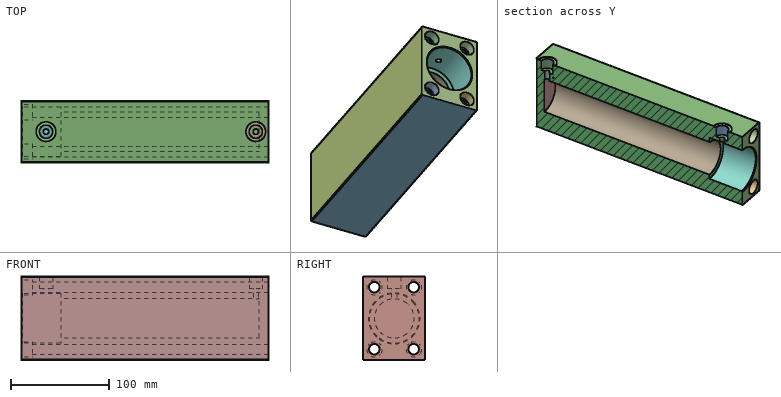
import cadquery as cq

length = 251.0
width = 63.0
height = 85.0
long_edge_chamfer = 1.0

gland_diameter = 50.4
gland_depth = 40.0
gland_mouth_diameter = 52.0
gland_mouth_chamfer = (gland_mouth_diameter - gland_diameter) / 2
piston_bore_diameter = 40.0
end_wall = 10.0
piston_bore_end_x = length - end_wall

bolt_hole_diameter = 10.5
bolt_head_diameter = 15.5
bolt_head_depth = 11.0
bolt_spacing_y = 40.0
bolt_spacing_z = 63.0

front_port_x = 25.0
rear_port_x = length - 13.0
port_seat_diameter = 20.0
port_seat_depth = 0.5
port_thread_diameter = 13.5
port_thread_depth = 12.0
port_passage_diameter = 5.5


def hole_along_x(diameter, depth, y, z):
    """Cylinder running along +X from the X = 0 face."""
    return cq.Workplane("YZ", origin=(0, y, z)).circle(diameter / 2).extrude(depth)


def hole_from_top(diameter, x, depth):
    """Cylinder running down from the top face."""
    return cq.Workplane("XY", origin=(x, 0, height / 2)).circle(diameter / 2).extrude(-depth)


def make_block():
    block = cq.Workplane("XY").box(length, width, height, centered=(False, True, True))
    return block.edges("|X").chamfer(long_edge_chamfer)


def make_bore():
    """Half section of the stepped bore, revolved about the X axis."""
    half_section = (
        cq.Workplane("XY")
        .lineTo(0, gland_mouth_diameter / 2)
        .lineTo(gland_mouth_chamfer, gland_diameter / 2)
        .lineTo(gland_depth, gland_diameter / 2)
        .lineTo(gland_depth, piston_bore_diameter / 2)
        .lineTo(piston_bore_end_x, piston_bore_diameter / 2)
        .lineTo(piston_bore_end_x, 0)
        .close()
    )
    return half_section.revolve(360, (0, 0, 0), (1, 0, 0))


def make_bolt_hole(y, z):
    through_hole = hole_along_x(bolt_hole_diameter, length, y, z)
    head_recess = hole_along_x(bolt_head_diameter, bolt_head_depth, y, z)
    return through_hole.union(head_recess)


def make_port(x):
    """Shallow seat, threaded bore and a passage that reaches the bore axis."""
    seat = hole_from_top(port_seat_diameter, x, port_seat_depth)
    thread = hole_from_top(port_thread_diameter, x, port_thread_depth)
    passage = hole_from_top(port_passage_diameter, x, height / 2)
    return seat.union(thread).union(passage)


result = make_block().cut(make_bore())
for side_y in (-1, 1):
    for side_z in (-1, 1):
        result = result.cut(make_bolt_hole(side_y * bolt_spacing_y / 2, side_z * bolt_spacing_z / 2))
for port_x in (front_port_x, rear_port_x):
    result = result.cut(make_port(port_x))